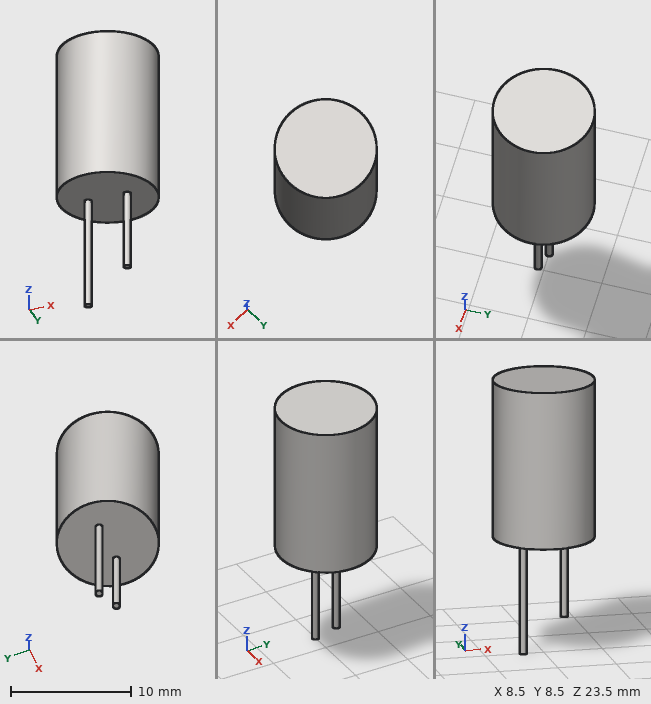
import cadquery as cq

can_diameter = 8.5
can_height = 13.5

lead_diameter = 0.6
lead_spacing = 3.5
long_lead_length = 10.0
short_lead_length = 7.0


def make_can():
    return cq.Workplane("XY").circle(can_diameter / 2).extrude(can_height)


def make_lead(x, length):
    """Straight round wire running down from the base of the can."""
    return cq.Workplane("XY").center(x, 0).circle(lead_diameter / 2).extrude(-length)


can = make_can()

lead_layout = [
    (-lead_spacing / 2, long_lead_length),
    (lead_spacing / 2, short_lead_length),
]
leads = [make_lead(x, length) for x, length in lead_layout]

result = cq.Compound.makeCompound([can.val(), *[lead.val() for lead in leads]])